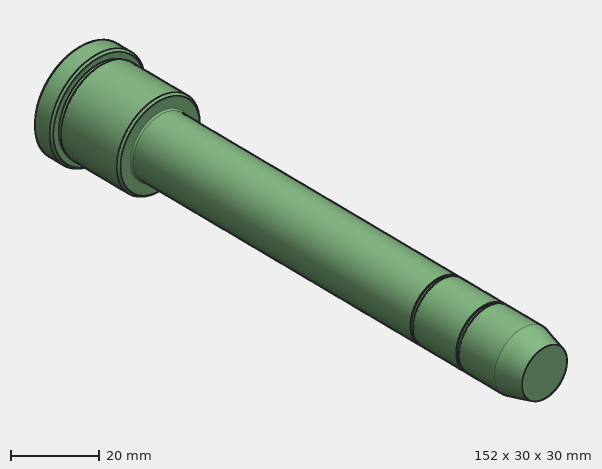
import cadquery as cq
import math

length = 152.0

head_diameter = 30.0
head_length = 6.1
head_chamfer = 0.6

collar_diameter = 26.0
collar_end = 26.0
collar_chamfer = 0.6
relief_width = 1.0
relief_depth = 0.3

shank_diameter = 18.0
root_fillet = 0.5

groove_starts = (117.3, 132.4)
groove_width = 0.9
groove_depth = 0.3

tip_length = 7.1
tip_angle = 15.0


def cylinder(start, end, diameter):
    """Solid cylinder along X between two stations."""
    return cq.Workplane("YZ", origin=(start, 0, 0)).circle(diameter / 2).extrude(end - start)


def ring_cut(start, width, diameter, depth):
    """Ring that cuts a shallow square groove into a cylinder of the given diameter."""
    return cylinder(start, start + width, diameter).cut(
        cylinder(start, start + width, diameter - 2 * depth)
    )


head = cylinder(0, head_length, head_diameter).edges().chamfer(head_chamfer)

collar = cylinder(head_length, collar_end, collar_diameter).faces(">X").edges().chamfer(collar_chamfer)
collar = collar.cut(ring_cut(head_length, relief_width, collar_diameter, relief_depth))

tip_start = length - tip_length
shank = cylinder(collar_end, tip_start, shank_diameter)
for groove_start in groove_starts:
    shank = shank.cut(ring_cut(groove_start, groove_width, shank_diameter, groove_depth))

shank_radius = shank_diameter / 2
arc_offset = root_fillet * (1 - math.sqrt(0.5))
root = (
    cq.Workplane("XY")
    .moveTo(collar_end, 0)
    .lineTo(collar_end, shank_radius + root_fillet)
    .threePointArc(
        (collar_end + arc_offset, shank_radius + arc_offset),
        (collar_end + root_fillet, shank_radius),
    )
    .lineTo(collar_end + root_fillet, 0)
    .close()
    .revolve(360, (0, 0, 0), (1, 0, 0))
)

tip_radius = shank_radius - tip_length * math.tan(math.radians(tip_angle))
tip = (
    cq.Workplane("XY")
    .moveTo(tip_start, 0)
    .lineTo(tip_start, shank_radius)
    .lineTo(length, tip_radius)
    .lineTo(length, 0)
    .close()
    .revolve(360, (0, 0, 0), (1, 0, 0))
)

result = head.union(collar).union(shank).union(root).union(tip)